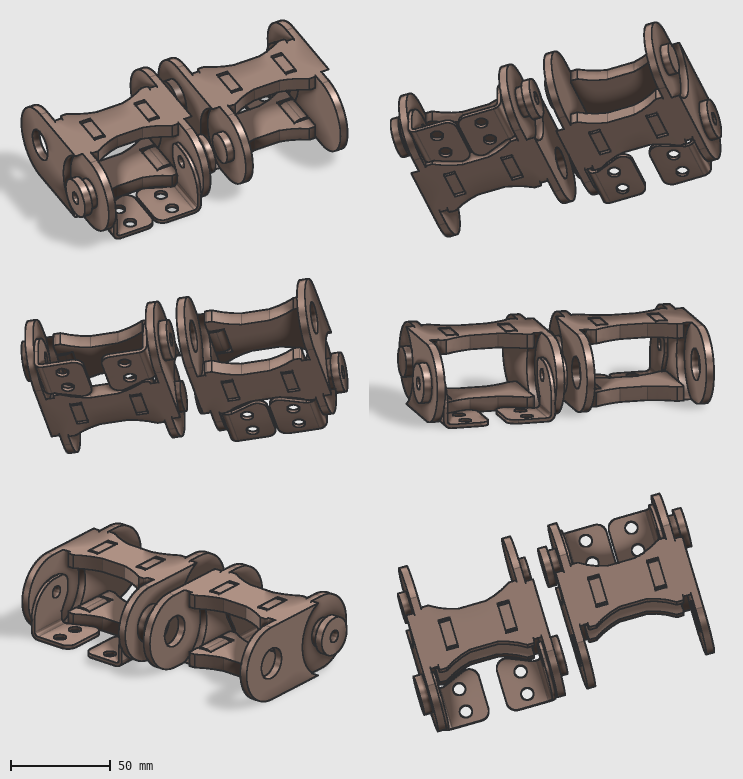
import cadquery as cq
import math


PITCH = 45.5
PLATE_RADIUS = 20.03
LAYER_THICKNESS = 4.1
INNER_FACE = 25.0
STEP_FACE = INNER_FACE + LAYER_THICKNESS
OUTER_FACE = STEP_FACE + LAYER_THICKNESS
STEP_MID_X = 2.1
STEP_TOP_X = 14.9
PIN_X = PITCH / 2
BORE_RADIUS = 8.1
STUB_RADIUS = 7.8

BAR_HEIGHT = 7.4
BAR_END_WIDTH = 33.5
BAR_WAIST_WIDTH = 21.8
BAR_END_STRAIGHT_Y = 21.2
BAR_WAIST_Y = 7.2
BAR_SIDE_SAGITTA = 0.69
BAR_CORNER = 0.9

WINDOW_Y = 15.5
WINDOW_LENGTH = 16.0
WINDOW_WIDTH = 5.8
SLOT_DEPTH = 3.0
CATCH_LENGTH = 13.0
CATCH_SINK = 0.2
TONGUE_END_Y = 16.5
TONGUE_ROUND_Y = 21.0
TONGUE_ROUND_RADIUS = 5.0
TONGUE_WIDTH = 16.0
TONGUE_GAP = 1.2

HEAD_RADIUS = 10.1
FIRST_HEAD_THICKNESS = 4.3
SECOND_HEAD_THICKNESS = 4.1
SCREW_HOLE = 6.3

SHEET = 2.0
BEND_RADIUS = 2 * SHEET
TAB_BACK_X = -17.5
TAB_NECK_X = 4.3
TAB_FRONT_X = 9.0
TAB_TOP_Z = 7.8
TAB_ARC_RADIUS = 16.9
TAB_SLANT_TOP_Z = -3.2
TAB_SLANT_BOTTOM_Z = -12.3
BRACKET_CORNER = 5.0
FOOT_LENGTH = 24.4
FOOT_SLANT_START = 5.5
FOOT_FRONT_X = 12.3
FOOT_HOLE_Y = 13.0
FOOT_HOLES_X = (-10.9, 1.0)

LINK_GAP = 3.4


def cylinder_y(x, radius, start_y, end_y):
    """Round bar along Y on the height of the pin axes."""
    plane = cq.Plane(origin=(x, start_y, 0), xDir=(-1, 0, 0), normal=(0, 1, 0))
    return cq.Workplane(plane).circle(radius).extrude(end_y - start_y)


def mirrored_pair(half):
    return half.union(half.mirror("XZ"))


def plate_layer(start_y):
    """Layer with a round end around the +X axis and a concave end facing -X."""
    outline = (
        cq.Workplane("XZ", origin=(0, start_y, 0))
        .moveTo(-STEP_TOP_X, PLATE_RADIUS)
        .lineTo(PIN_X, PLATE_RADIUS)
        .threePointArc((PIN_X + PLATE_RADIUS, 0), (PIN_X, -PLATE_RADIUS))
        .lineTo(-STEP_TOP_X, -PLATE_RADIUS)
        .threePointArc((-STEP_MID_X, 0), (-STEP_TOP_X, PLATE_RADIUS))
        .close()
    )
    return outline.extrude(-LAYER_THICKNESS)


def side_plate():
    """Plate on the +Y side, with a bore at -X and a stub at +X."""
    inner = plate_layer(INNER_FACE)
    outer = plate_layer(STEP_FACE).mirror("YZ")
    bore = cylinder_y(-PIN_X, BORE_RADIUS, STEP_FACE, OUTER_FACE)
    stub = cylinder_y(PIN_X, STUB_RADIUS, STEP_FACE, OUTER_FACE)
    return inner.union(outer).cut(bore).union(stub)


def catch_window():
    """Cutter for the gaps around one catch, in the outer face of the top crossbar at +Y."""
    top = cq.Workplane("XY", origin=(0, WINDOW_Y, PLATE_RADIUS))
    window = top.rect(WINDOW_LENGTH, WINDOW_WIDTH).extrude(-SLOT_DEPTH)
    catch_top = cq.Workplane("XY", origin=(0, WINDOW_Y, PLATE_RADIUS - CATCH_SINK))
    return window.cut(catch_top.rect(CATCH_LENGTH, WINDOW_WIDTH).extrude(-SLOT_DEPTH))


def tongue_slots():
    """Cutter for the side gaps and the round end of one tongue, in the inner face at +Y."""
    bottom = PLATE_RADIUS - BAR_HEIGHT
    length = INNER_FACE - TONGUE_END_Y
    gap_x = (TONGUE_WIDTH + TONGUE_GAP) / 2
    gaps = (
        cq.Workplane("XY", origin=(0, TONGUE_END_Y + length / 2, bottom))
        .pushPoints([(-gap_x, 0), (gap_x, 0)])
        .rect(TONGUE_GAP, length)
        .extrude(SLOT_DEPTH)
    )
    reach = TONGUE_ROUND_Y - TONGUE_END_Y
    end_depth = TONGUE_ROUND_RADIUS - math.sqrt(TONGUE_ROUND_RADIUS**2 - reach**2)
    round_end = (
        cq.Workplane("YZ", origin=(-TONGUE_WIDTH / 2, 0, 0))
        .moveTo(TONGUE_ROUND_Y, bottom)
        .lineTo(TONGUE_END_Y, bottom)
        .lineTo(TONGUE_END_Y, bottom + end_depth)
        .radiusArc((TONGUE_ROUND_Y, bottom), -TONGUE_ROUND_RADIUS)
        .close()
        .extrude(TONGUE_WIDTH)
    )
    return gaps.union(round_end)


def crossbar():
    """Top crossbar with a narrow waist."""
    half_end = BAR_END_WIDTH / 2
    half_waist = BAR_WAIST_WIDTH / 2
    rise = BAR_END_STRAIGHT_Y - BAR_WAIST_Y
    run = half_end - half_waist
    chord = math.hypot(run, rise)
    mid_x = (half_end + half_waist) / 2 - BAR_SIDE_SAGITTA * rise / chord
    mid_y = (BAR_END_STRAIGHT_Y + BAR_WAIST_Y) / 2 + BAR_SIDE_SAGITTA * run / chord
    bar = (
        cq.Workplane("XY", origin=(0, 0, PLATE_RADIUS - BAR_HEIGHT))
        .moveTo(half_end, INNER_FACE)
        .lineTo(half_end, BAR_END_STRAIGHT_Y)
        .threePointArc((mid_x, mid_y), (half_waist, BAR_WAIST_Y))
        .lineTo(half_waist, -BAR_WAIST_Y)
        .threePointArc((mid_x, -mid_y), (half_end, -BAR_END_STRAIGHT_Y))
        .lineTo(half_end, -INNER_FACE)
        .lineTo(0, -INNER_FACE)
        .lineTo(0, INNER_FACE)
        .close()
        .extrude(BAR_HEIGHT)
    )
    bar = bar.edges("|Z and >X").edges(">Y or <Y").fillet(BAR_CORNER)
    bar = bar.union(bar.mirror("YZ"))
    bar = bar.cut(mirrored_pair(catch_window()))
    return bar.cut(tongue_slots())


def link_body():
    bar = crossbar()
    return mirrored_pair(side_plate()).union(bar).union(bar.mirror("XY"))


def tab(back_y):
    """Upright half of a bracket on the +Y side, its back at back_y, around a pin axis at X = 0."""
    arc_x = TAB_BACK_X + TAB_ARC_RADIUS
    arc_z = TAB_TOP_Z - TAB_ARC_RADIUS
    diagonal = TAB_ARC_RADIUS * math.sqrt(0.5)
    sheet = (
        cq.Workplane("XZ", origin=(0, back_y, 0))
        .moveTo(TAB_BACK_X, -PLATE_RADIUS)
        .lineTo(TAB_BACK_X, arc_z)
        .threePointArc((arc_x - diagonal, arc_z + diagonal), (arc_x, TAB_TOP_Z))
        .lineTo(TAB_FRONT_X, TAB_TOP_Z)
        .lineTo(TAB_FRONT_X, TAB_SLANT_TOP_Z)
        .lineTo(TAB_NECK_X, TAB_SLANT_BOTTOM_Z)
        .lineTo(TAB_NECK_X, -PLATE_RADIUS)
        .close()
        .extrude(SHEET)
    )
    return sheet.edges("|Y and >X").fillet(BRACKET_CORNER)


def foot(back_y):
    """Flat half of a bracket, reaching from the tab towards the middle of the link."""
    end_y = back_y - FOOT_LENGTH
    sheet = (
        cq.Workplane("XY", origin=(0, 0, -PLATE_RADIUS))
        .moveTo(TAB_BACK_X, back_y)
        .lineTo(TAB_NECK_X, back_y)
        .lineTo(TAB_NECK_X, back_y - FOOT_SLANT_START)
        .lineTo(FOOT_FRONT_X, end_y)
        .lineTo(TAB_BACK_X, end_y)
        .close()
        .extrude(SHEET)
    )
    sheet = sheet.edges("|Z and <Y").fillet(BRACKET_CORNER)
    holes = (
        cq.Workplane("XY", origin=(0, back_y - FOOT_HOLE_Y, -PLATE_RADIUS))
        .pushPoints([(x, 0) for x in FOOT_HOLES_X])
        .circle(SCREW_HOLE / 2)
        .extrude(SHEET)
    )
    return sheet.cut(holes)


def bend_fill(back_y):
    """Block in the inside corner between tab and foot, which the bend is shaped from."""
    block = cq.Workplane("XY").box(TAB_NECK_X - TAB_BACK_X, BEND_RADIUS, BEND_RADIUS, centered=False)
    block = block.translate((TAB_BACK_X, back_y - BEND_RADIUS, -PLATE_RADIUS))
    hollow = (
        cq.Workplane("YZ", origin=(TAB_BACK_X, 0, 0))
        .center(back_y - BEND_RADIUS, BEND_RADIUS - PLATE_RADIUS)
        .circle(BEND_RADIUS - SHEET)
        .extrude(TAB_NECK_X - TAB_BACK_X)
    )
    return block.cut(hollow)


def bracket_sheet(back_y):
    """Bent sheet of a bracket on the +Y side, around a pin axis at X = 0."""
    sheet = tab(back_y).union(foot(back_y)).union(bend_fill(back_y))
    return sheet.edges("|X and >Y and <Z").fillet(BEND_RADIUS)


def screw_hole(back_y, head_end):
    return cylinder_y(0, SCREW_HOLE / 2, back_y - SHEET, head_end)


def end_bracket():
    """Separate bracket whose pin fills the bore of the first link, with a head outside it."""
    head_end = OUTER_FACE + FIRST_HEAD_THICKNESS
    pin = cylinder_y(0, BORE_RADIUS, STEP_FACE, OUTER_FACE)
    head = cylinder_y(0, HEAD_RADIUS, OUTER_FACE, head_end)
    shape = bracket_sheet(STEP_FACE).union(pin).union(head)
    return shape.cut(screw_hole(STEP_FACE, head_end)).translate((-PIN_X, 0, 0))


def second_link_body():
    """Link with brackets built in, opposite-handed around the +X axis, and heads on its stubs."""
    head_end = OUTER_FACE + SECOND_HEAD_THICKNESS
    sheet = bracket_sheet(INNER_FACE).mirror("YZ").translate((PIN_X, 0, 0))
    head = cylinder_y(PIN_X, HEAD_RADIUS, OUTER_FACE, head_end)
    hole = screw_hole(INNER_FACE, head_end).translate((PIN_X, 0, 0))
    return link_body().union(mirrored_pair(sheet.union(head))).cut(mirrored_pair(hole))


FIRST_HALF_WIDTH = OUTER_FACE + FIRST_HEAD_THICKNESS
SECOND_HALF_WIDTH = OUTER_FACE + SECOND_HEAD_THICKNESS
TOTAL_WIDTH = 2 * FIRST_HALF_WIDTH + LINK_GAP + 2 * SECOND_HALF_WIDTH
FIRST_LINK_Y = TOTAL_WIDTH / 2 - FIRST_HALF_WIDTH
SECOND_LINK_Y = SECOND_HALF_WIDTH - TOTAL_WIDTH / 2

first_link = link_body().translate((0, FIRST_LINK_Y, 0)).solids()
second_link = second_link_body().translate((0, SECOND_LINK_Y, 0)).solids()
brackets = []
for handed_bracket in (end_bracket(), end_bracket().mirror("XZ")):
    brackets.append(handed_bracket.translate((0, FIRST_LINK_Y, 0)).solids().val())

result = cq.Compound.makeCompound([first_link.val(), second_link.val(), *brackets])